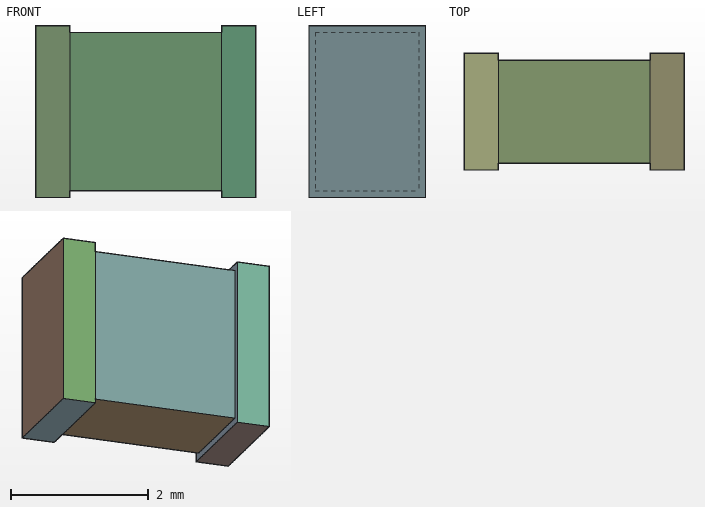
import cadquery as cq

length = 3.2
depth = 1.7
height = 2.5

cap_length = 0.5
cap_step = 0.1

body = cq.Workplane("XY").box(length, depth - 2 * cap_step, height - 2 * cap_step)


def end_cap(side):
    """Cap at the -X end (side = -1) or the +X end (side = 1)."""
    center_x = side * (length - cap_length) / 2
    return cq.Workplane("XY").box(cap_length, depth, height).translate((center_x, 0, 0))


result = body
for side in (-1, 1):
    result = result.union(end_cap(side))
result = result.clean()